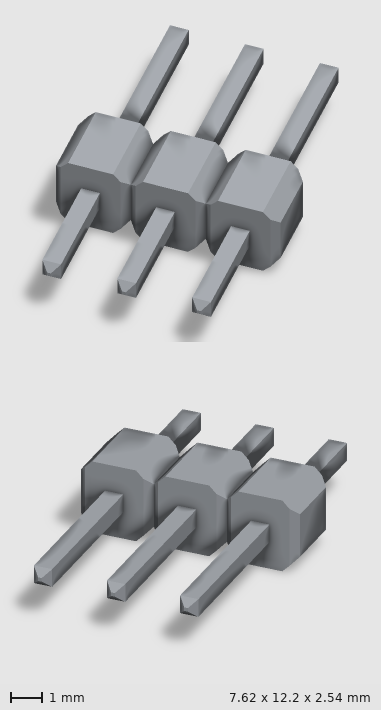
import cadquery as cq

pin_count = 3
pitch = 2.54
front_pin_length = 3.81
rear_pin_length = 5.842
pin_width = pitch / 4
tip_chamfer = pitch / 10
long_edge_chamfer = pitch / 5
upright_edge_chamfer = pitch / 10

pin_length = front_pin_length + pitch + rear_pin_length
pin_center_y = (rear_pin_length - front_pin_length) / 2


def make_cell():
    """Cubic housing cell centred on the origin, bevelled along Y and Z."""
    octagon_prism = cq.Workplane("XY").box(pitch, pitch, pitch).edges("|Y").chamfer(long_edge_chamfer)
    upright_prism = cq.Workplane("XY").box(pitch, pitch, pitch).edges("|Z").chamfer(upright_edge_chamfer)
    return octagon_prism.intersect(upright_prism)


def make_pin():
    """Square pin along Y with a blunt pyramid at each end."""
    pin = cq.Workplane("XY").box(pin_width, pin_length, pin_width)
    pin = pin.faces("<Y or >Y").edges().chamfer(tip_chamfer)
    return pin.translate((0, pin_center_y, 0))


pin_and_cell = make_cell().union(make_pin())
first_x = -(pin_count - 1) * pitch / 2
result = pin_and_cell.translate((first_x, 0, 0))
for index in range(1, pin_count):
    result = result.union(pin_and_cell.translate((first_x + index * pitch, 0, 0)))